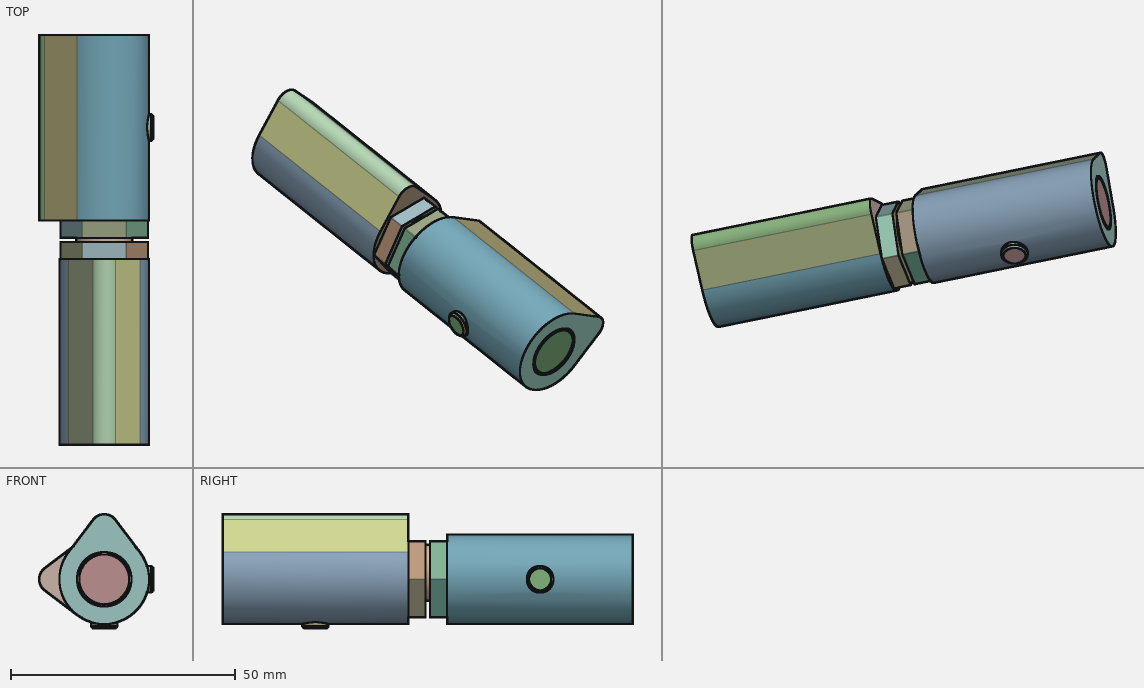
import cadquery as cq
import math

TOTAL_LENGTH = 91.3

BARREL_DIAMETER = 20.0
TIP_REACH = 14.5
TIP_RADIUS = 3.1
REAR_TURN = -90.0

SHANK_DIAMETER = 12.1
SHANK_CHAMFER = 0.5
HEAD_ACROSS_FLATS = 17.0
HEAD_THICKNESS = 3.8
HEAD_CORNER_RADIUS = 0.2

SPACER_DIAMETER = 12.5
SPACER_THICKNESS = 0.9
SPACER_OFFSET = 1.5

SCREW_DIAMETER = 5.9
SCREW_REACH = 11.0
SCREW_CHAMFER = 0.5
SCREW_FROM_END = 20.6

BARREL_RADIUS = BARREL_DIAMETER / 2
HEAD_START = SPACER_THICKNESS / 2
BARREL_START = HEAD_START + HEAD_THICKNESS
BARREL_END = TOTAL_LENGTH / 2
BARREL_LENGTH = BARREL_END - BARREL_START
SCREW_Y = BARREL_END - SCREW_FROM_END


def section(y):
    """Sketch plane across the axis at the given Y; its extrusions run towards -Y."""
    return cq.Workplane("XZ", origin=(0, y, 0))


def teardrop(y):
    """Big circle on the axis and small tip circle above it, joined by their common tangents."""
    tip_height = TIP_REACH - TIP_RADIUS
    normal_z = (BARREL_RADIUS - TIP_RADIUS) / tip_height
    normal_x = math.sqrt(1 - normal_z**2)
    base_x = BARREL_RADIUS * normal_x
    base_z = BARREL_RADIUS * normal_z
    tip_x = TIP_RADIUS * normal_x
    tip_z = tip_height + TIP_RADIUS * normal_z
    return (
        section(y)
        .moveTo(base_x, base_z)
        .lineTo(tip_x, tip_z)
        .threePointArc((0, TIP_REACH), (-tip_x, tip_z))
        .lineTo(-base_x, base_z)
        .threePointArc((0, -BARREL_RADIUS), (base_x, base_z))
        .close()
    )


def make_barrel():
    """Front barrel: lobe towards +Z, bore right through, screw hole from -Z into the bore."""
    blank = teardrop(-BARREL_START).extrude(BARREL_LENGTH)
    bore = section(-BARREL_START).circle(SHANK_DIAMETER / 2).extrude(BARREL_LENGTH)
    screw_hole = (
        cq.Workplane("XY", origin=(0, -SCREW_Y, 0)).circle(SCREW_DIAMETER / 2).extrude(-TIP_REACH)
    )
    return blank.cut(bore).cut(screw_hole)


def make_screw():
    """Front screw: stands on the bushing shank and points towards -Z, outer end chamfered."""
    shank_bottom = -SHANK_DIAMETER / 2
    return (
        cq.Workplane("XY", origin=(0, -SCREW_Y, shank_bottom))
        .circle(SCREW_DIAMETER / 2)
        .extrude(-SCREW_REACH - shank_bottom)
        .faces("<Z")
        .chamfer(SCREW_CHAMFER)
    )


def make_bushing():
    """Front bushing: head corners on the X axis, chamfered shank flush with the barrel end."""
    across_corners = HEAD_ACROSS_FLATS / math.cos(math.pi / 6)
    head = (
        section(-HEAD_START)
        .polygon(6, across_corners)
        .extrude(HEAD_THICKNESS)
        .edges("|Y")
        .fillet(HEAD_CORNER_RADIUS)
    )
    shank = (
        section(-BARREL_START)
        .circle(SHANK_DIAMETER / 2)
        .extrude(BARREL_LENGTH)
        .faces("<Y")
        .chamfer(SHANK_CHAMFER)
    )
    return head.union(shank)


def make_spacer():
    return (
        section(SPACER_THICKNESS / 2)
        .center(0, SPACER_OFFSET)
        .circle(SPACER_DIAMETER / 2)
        .extrude(SPACER_THICKNESS)
    )


def to_rear(body, turn=0.0):
    """Mirror a front body to the rear half, then turn it about the Y axis."""
    return body.mirror("XZ").rotate((0, 0, 0), (0, 1, 0), turn)


barrels = []
screws = []
bushings = []
for is_rear in (False, True):
    barrel = make_barrel()
    screw = make_screw()
    bushing = make_bushing()
    if is_rear:
        barrel = to_rear(barrel, REAR_TURN)
        screw = to_rear(screw, REAR_TURN)
        bushing = to_rear(bushing)
    barrels.append(barrel.val())
    screws.append(screw.val())
    bushings.append(bushing.val())

spacer = make_spacer()

result = cq.Compound.makeCompound([*barrels, *screws, *bushings, spacer.val()])